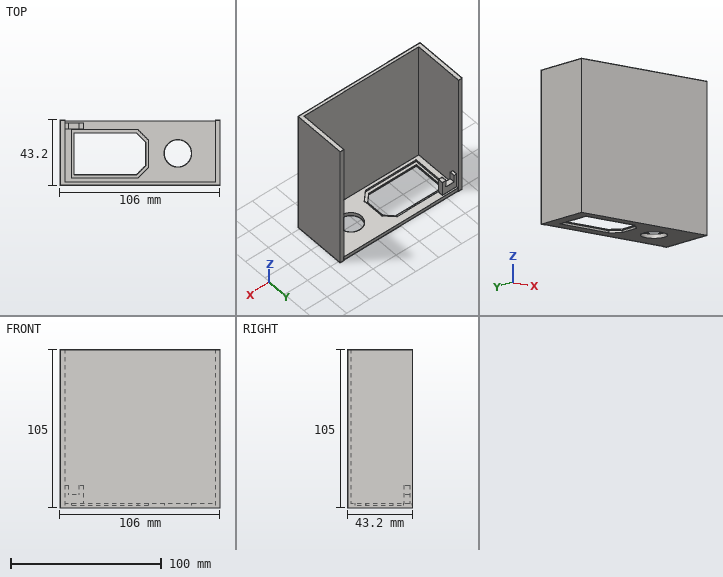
import cadquery as cq

WIDTH = 106.0
DEPTH = 43.2
HEIGHT = 105.0
SIDE_WALL = 3.2
FRONT_WALL = 2.4
FLOOR_THICKNESS = 3.0
FLOOR_SETBACK = 0.4

INLET_CENTER_X = 33.0
INLET_CENTER_Y = 20.9
OPENING_LENGTH = 47.4
OPENING_WIDTH = 27.4
OPENING_CHAMFER = 6.0
RIM_LENGTH = 51.0
RIM_WIDTH = 32.2
RIM_CHAMFER = 7.0
RIM_DEPTH = FLOOR_THICKNESS / 2

HOLE_DIAMETER = 18.0
HOLE_X = 78.0
HOLE_Y = 21.2

BLOCK_WIDTH = 12.4
BLOCK_DEPTH = 4.0
BLOCK_HEIGHT = 12.0
BLOCK_Y = 37.3
NOTCH_OFFSET = 2.2
NOTCH_WIDTH = 7.0
NOTCH_DEPTH = BLOCK_HEIGHT / 2


def box(x, y, z, width, depth, height):
    """Box with its lowest corner at (x, y, z)."""
    return cq.Workplane("XY").box(width, depth, height, centered=False).translate((x, y, z))


def inlet_prism(length, width, chamfer, bottom, height):
    """Upright prism centred on the inlet, with both +X corners chamfered."""
    return (
        cq.Workplane("XY")
        .box(length, width, height, centered=(True, True, False))
        .edges("|Z and >X")
        .chamfer(chamfer)
        .translate((INLET_CENTER_X, INLET_CENTER_Y, bottom))
    )


def make_shell():
    """Front wall, two side walls and floor."""
    inner_width = WIDTH - 2 * SIDE_WALL
    cavity = box(SIDE_WALL, FRONT_WALL, FLOOR_THICKNESS, inner_width, DEPTH, HEIGHT)
    floor_gap = box(SIDE_WALL, DEPTH - FLOOR_SETBACK, 0, inner_width, FLOOR_SETBACK, HEIGHT)
    return box(0, 0, 0, WIDTH, DEPTH, HEIGHT).cut(cavity).cut(floor_gap)


def make_block():
    """Corner block with a notch across its top."""
    block = box(SIDE_WALL, BLOCK_Y, FLOOR_THICKNESS, BLOCK_WIDTH, BLOCK_DEPTH, BLOCK_HEIGHT)
    notch_bottom = FLOOR_THICKNESS + BLOCK_HEIGHT - NOTCH_DEPTH
    notch_x = SIDE_WALL + NOTCH_OFFSET
    return block.cut(box(notch_x, BLOCK_Y, notch_bottom, NOTCH_WIDTH, BLOCK_DEPTH, NOTCH_DEPTH))


def make_floor_cuts():
    """Inlet opening, its recessed rim and the round hole."""
    opening = inlet_prism(OPENING_LENGTH, OPENING_WIDTH, OPENING_CHAMFER, 0, FLOOR_THICKNESS)
    rim = inlet_prism(RIM_LENGTH, RIM_WIDTH, RIM_CHAMFER, FLOOR_THICKNESS - RIM_DEPTH, RIM_DEPTH)
    hole = cq.Workplane("XY").center(HOLE_X, HOLE_Y).circle(HOLE_DIAMETER / 2).extrude(FLOOR_THICKNESS)
    return opening.union(rim).union(hole)


result = make_shell().cut(make_floor_cuts()).union(make_block())